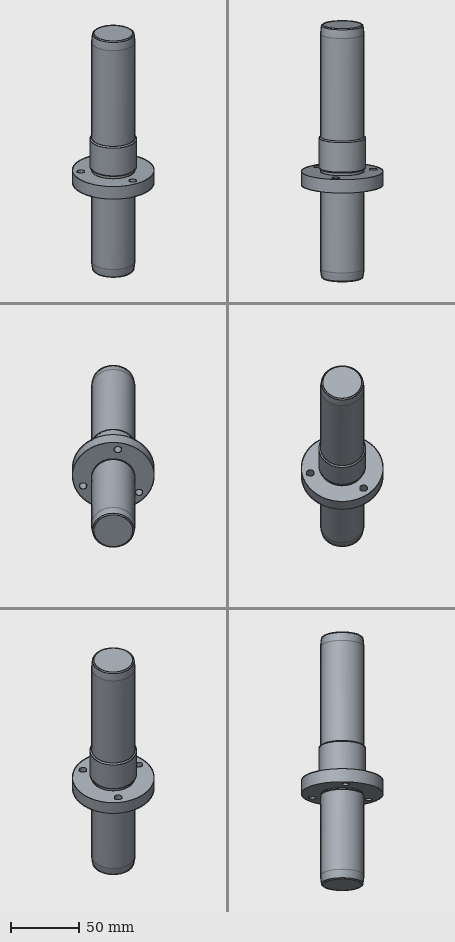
import cadquery as cq
import math

length = 190.0
shaft_radius = 16.0

crown_length = 7.0
crown_drop = 0.8
edge_height = 0.8
edge_width = 1.0

flange_radius = 30.0
flange_bottom = 70.0
flange_thickness = 10.0
hole_count = 3
hole_circle_radius = 24.0
hole_diameter = 5.5

collar_radius = 17.1
collar_bottom = 81.9
collar_top = 106.0
collar_chamfer_height = 1.0

groove_radius = 15.4
groove_width = 1.0
groove_chamfer = shaft_radius - groove_radius

flange_top = flange_bottom + flange_thickness
crown_radius = shaft_radius - crown_drop
face_radius = crown_radius - edge_width
crown_rise = crown_length - edge_height

arc_radius = (crown_rise**2 + crown_drop**2) / (2 * crown_drop)
half_angle = math.asin(crown_rise / arc_radius) / 2
arc_mid_radius = shaft_radius - arc_radius * (1 - math.cos(half_angle))
arc_mid_height = crown_length - arc_radius * math.sin(half_angle)


def make_shaft():
    """Revolve the stepped half profile, drawn as (radius, height), about Z."""
    groove_bottom = flange_bottom - groove_width
    profile = (
        cq.Workplane("XZ")
        .lineTo(face_radius, 0)
        .lineTo(crown_radius, edge_height)
        .threePointArc((arc_mid_radius, arc_mid_height), (shaft_radius, crown_length))
        .lineTo(shaft_radius, groove_bottom - groove_chamfer)
        .lineTo(groove_radius, groove_bottom)
        .lineTo(groove_radius, flange_bottom)
        .lineTo(flange_radius, flange_bottom)
        .lineTo(flange_radius, flange_top)
        .lineTo(shaft_radius, flange_top)
        .lineTo(shaft_radius, collar_bottom)
        .lineTo(collar_radius, collar_bottom + collar_chamfer_height)
        .lineTo(collar_radius, collar_top - collar_chamfer_height)
        .lineTo(shaft_radius, collar_top)
        .lineTo(shaft_radius, length - crown_length)
        .threePointArc(
            (arc_mid_radius, length - arc_mid_height),
            (crown_radius, length - edge_height),
        )
        .lineTo(face_radius, length)
        .lineTo(0, length)
        .close()
    )
    return profile.revolve(360, (0, 0), (0, 1))


def make_flange_holes():
    """Equally spaced through holes, the first one on the +X axis."""
    return (
        cq.Workplane("XY")
        .workplane(offset=flange_bottom)
        .polarArray(hole_circle_radius, 0, 360, hole_count)
        .circle(hole_diameter / 2)
        .extrude(flange_thickness)
    )


result = make_shaft().cut(make_flange_holes())